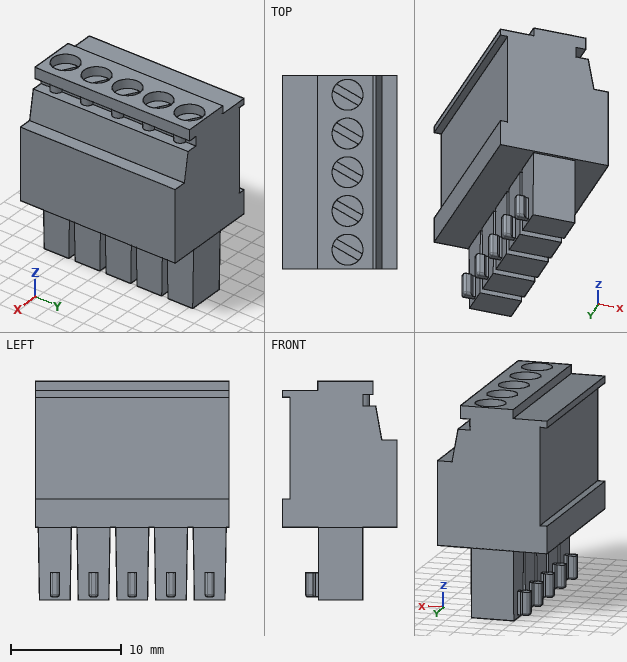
import cadquery as cq

depth = 10.4
length = 17.5
height = 19.8
pole_count = 5
pole_pitch = length / pole_count

housing_bottom = 6.6
foot_top = 9.17
rear_recess = 0.7
rear_lip_bottom = 18.33
rear_lip_top = 18.97
top_step_x = 3.2
front_lip_x = 8.22
front_lip_bottom = 18.6
notch_wall_x = 7.29
notch_floor = 17.58
slope_top_x = 8.45
slope_bottom_x = 9.0
front_ledge_top = 14.5

screw_x = 5.9
screw_diameter = 2.8
screw_recess = 0.99
slot_width = 0.7
slot_depth = 0.5
slot_angle = -30.0

pin_diameter = 1.2

plug_rear_x = 3.27
plug_top_width = 3.0
plug_tip_width = 2.8

key_rear_x = 2.12
key_bottom = 0.3
key_top = 2.5
key_width = 0.81
key_neck_width = 0.44
key_taper_start_x = 2.77
key_neck_start_x = 3.0
key_rounding = 0.22


def pole_centres():
    return [(index - (pole_count - 1) / 2) * pole_pitch for index in range(pole_count)]


def make_housing():
    """Stepped side profile carried along the full length of the block."""
    profile = [
        (0, housing_bottom),
        (depth, housing_bottom),
        (depth, front_ledge_top),
        (slope_bottom_x, front_ledge_top),
        (slope_top_x, notch_floor),
        (notch_wall_x, notch_floor),
        (notch_wall_x, front_lip_bottom),
        (front_lip_x, front_lip_bottom),
        (front_lip_x, height),
        (top_step_x, height),
        (top_step_x, rear_lip_top),
        (0, rear_lip_top),
        (0, rear_lip_bottom),
        (rear_recess, rear_lip_bottom),
        (rear_recess, foot_top),
        (0, foot_top),
    ]
    return cq.Workplane("XZ").polyline(profile).close().extrude(length / 2, both=True)


def make_screw_well(y):
    """Material removed above one screw head, including its driver slot."""
    head_top = height - screw_recess
    bore = (
        cq.Workplane("XY", origin=(screw_x, y, head_top))
        .circle(screw_diameter / 2)
        .extrude(screw_recess)
    )
    slot_base = cq.Workplane("XY", origin=(screw_x, y, head_top - slot_depth))
    slot_ends = slot_base.circle(screw_diameter / 2).extrude(slot_depth)
    slot = (
        slot_base.transformed(rotate=(0, 0, slot_angle))
        .rect(2 * screw_diameter, slot_width)
        .extrude(slot_depth)
        .intersect(slot_ends)
    )
    return bore.union(slot)


def make_notch_pin(y):
    """Pin joining the notch floor to the lip, half sunk into the notch wall."""
    return (
        cq.Workplane("XY", origin=(notch_wall_x, y, notch_floor))
        .circle(pin_diameter / 2)
        .extrude(front_lip_bottom - notch_floor)
    )


def make_plug(y):
    """Plug that narrows along Y towards its tip."""
    outline = [
        (y - plug_tip_width / 2, 0),
        (y + plug_tip_width / 2, 0),
        (y + plug_top_width / 2, housing_bottom),
        (y - plug_top_width / 2, housing_bottom),
    ]
    return (
        cq.Workplane("YZ", origin=(plug_rear_x, 0, 0))
        .polyline(outline)
        .close()
        .extrude(notch_wall_x - plug_rear_x)
    )


def make_key(y):
    """Key with a rounded head that tapers to a plain neck at the plug."""
    key_height = key_top - key_bottom
    half_head = key_width / 2
    half_neck = key_neck_width / 2
    head_outline = [
        (key_rear_x, y - half_head),
        (key_taper_start_x, y - half_head),
        (key_neck_start_x, y - half_neck),
        (key_neck_start_x, y + half_neck),
        (key_taper_start_x, y + half_head),
        (key_rear_x, y + half_head),
    ]
    tapered_prism = (
        cq.Workplane("XY", origin=(0, 0, key_bottom))
        .polyline(head_outline)
        .close()
        .extrude(key_height)
    )
    head = (
        cq.Workplane("XY", origin=(key_rear_x, y, key_bottom))
        .box(key_neck_start_x - key_rear_x, key_width, key_height, centered=(False, True, False))
        .edges("|Z and <X")
        .fillet(key_rounding)
        .faces("<Z")
        .edges("not >X")
        .fillet(key_rounding)
        .intersect(tapered_prism)
    )
    neck = cq.Workplane("XY", origin=(key_neck_start_x, y, key_bottom)).box(
        plug_rear_x - key_neck_start_x, key_neck_width, key_height, centered=(False, True, False)
    )
    return head.union(neck)


result = make_housing()
for centre in pole_centres():
    result = result.union(make_notch_pin(centre))
    result = result.cut(make_screw_well(centre))
    result = result.union(make_plug(centre))
    result = result.union(make_key(centre))